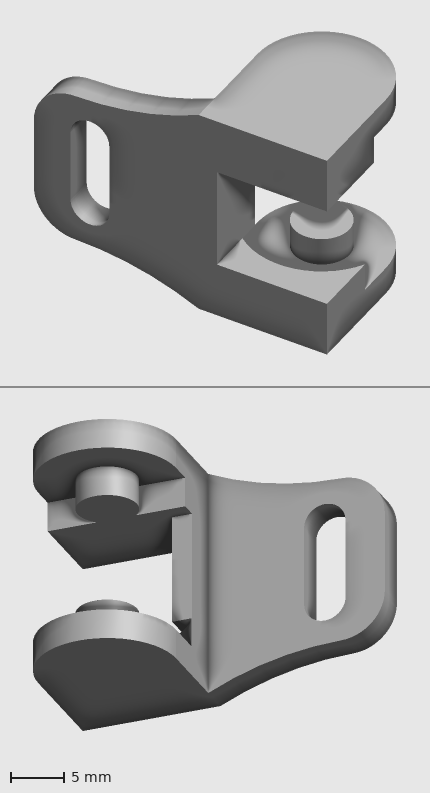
import cadquery as cq

length = 32.0
height = 23.0
plate_thickness = 3.0

lug_width = 14.0
lug_radius = lug_width / 2
lug_thickness = 3.0
lug_start = length - lug_width
pin_x = length - lug_radius
pin_y = 10.98

pin_diameter = 6.0
pin_height = 3.0
wall_depth = 7.05
upper_wall_depth = 8.75
clearance_radius = 8.0

window_start = 20.0
window_bottom = lug_thickness + pin_height
window_height = height - 2 * window_bottom

corner_radius = 4.48
tab_height = 17.02
tab_top = (height + tab_height) / 2
slot_x = 6.1
slot_width = 4.22
slot_length = 12.22


def box(x, z, size_x, size_y, size_z):
    """Block with its front face on Y = 0."""
    return cq.Workplane("XY").box(size_x, size_y, size_z, centered=False).translate((x, 0, z))


def cylinder(radius, z, size_z):
    """Vertical cylinder on the pin axis."""
    return cq.Workplane("XY").workplane(offset=z).center(pin_x, pin_y).circle(radius).extrude(size_z)


def make_plate():
    """Front plate: rounded tab flaring along concave arcs to the full body height."""
    upper_half = (
        cq.Workplane("XZ")
        .moveTo(0, height / 2)
        .lineTo(0, tab_top - corner_radius)
        .tangentArcPoint((corner_radius, tab_top), relative=False)
        .tangentArcPoint((lug_start, height), relative=False)
        .lineTo(length, height)
        .lineTo(length, height / 2)
        .close()
        .extrude(-plate_thickness)
    )
    lower_half = upper_half.mirror("XY", (0, 0, height / 2))
    slot = (
        cq.Workplane("XZ")
        .center(slot_x, height / 2)
        .slot2D(slot_length, slot_width, 90)
        .extrude(-plate_thickness)
    )
    return upper_half.union(lower_half).cut(slot)


def make_lug(z):
    return box(lug_start, z, lug_width, pin_y, lug_thickness).union(
        cylinder(lug_radius, z, lug_thickness)
    )


def make_wall():
    """Wall joining the lugs, deeper at the top and hollowed around the lower pin."""
    upper_step_z = height - window_bottom
    wall = box(lug_start, 0, lug_width, wall_depth, height)
    return wall.union(box(lug_start, upper_step_z, lug_width, upper_wall_depth, pin_height))


body = make_plate().union(make_wall())
body = body.cut(box(window_start, window_bottom, length - window_start, upper_wall_depth, window_height))
body = body.cut(cylinder(clearance_radius, lug_thickness, pin_height))

for lug_z in (0, height - lug_thickness):
    body = body.union(make_lug(lug_z))

for pin_z in (lug_thickness, height - window_bottom):
    body = body.union(cylinder(pin_diameter / 2, pin_z, pin_height))

result = body.clean()